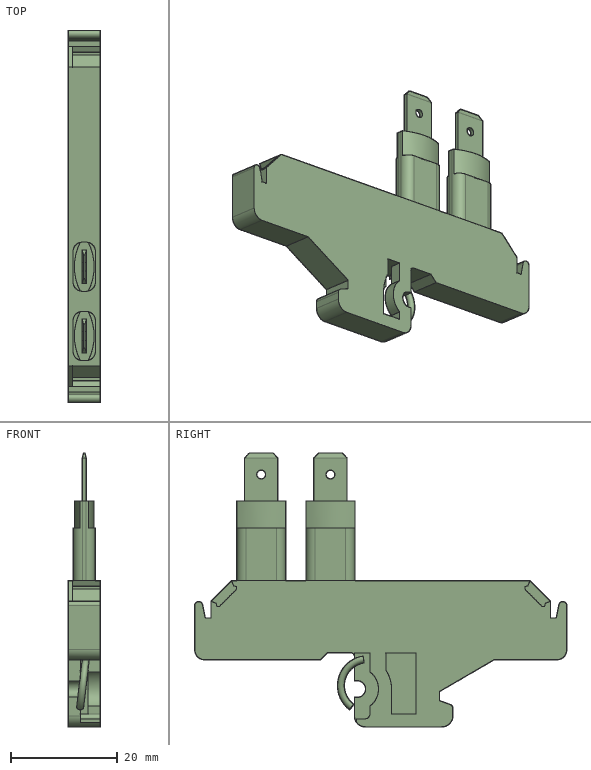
import cadquery as cq
import math

length = 70.0
thickness = 6.1
total_height = 51.5
half_length = length / 2
left_face = -thickness / 2
right_face = thickness / 2

body_top = 27.5
body_bottom = 12.6
end_chamfer = 3.85
end_radius = 1.95
lever_top = 23.6
lever_tip_radius = 0.8
lever_root_width = 2.0
slot_bottom = 20.5
slot_wall = half_length - 3.1
chamfer_foot = body_top - end_chamfer

foot_front = -5.0
foot_back = 13.6
foot_radius = 2.1
hook_tip_radius = 0.85
hook_tip_height = 4.05
throat_y = 11.05
throat_bottom = 5.0
throat_top = 6.65
slant_end = 21.3
step_top = 13.9
step_radius = 0.6
step_end = -10.0

notch_y = -4.4
notch_z = 7.15
notch_radius = 1.55
web_inner_radius = 4.0
web_outer_radius = 6.45
web_front = -2.0
web_back = 2.0
web_top_back = 1.0
web_bottom = 2.45
left_plate = 2.3
spring_gap = 1.5
cavity_back = 6.65
sill_height = 1.55
sill_front = -4.55
sill_fillet = web_bottom - sill_height

label_skin = 0.85
label_depth = 1.0
label_corner = 0.5
lip_rise = 1.0
lip_lean = 0.4
lip_undercut = 0.15

terminal_places = [-9.45, -22.5]
sleeve_length = 9.25
sleeve_width = 4.2
sleeve_corner = 1.75
sleeve_step = 37.45
sleeve_top = 42.5
collar_width = 3.7
collar_end_width = 1.5
blade_width = 6.3
blade_thickness = 0.8
blade_bevel_height = 1.0
blade_bevel_side = 0.9
blade_tip_thickness = 0.3
blade_hole = 1.6
blade_hole_z = 47.45

wire_diameter = 1.3
spring_y = -2.5
spring_z = 7.8
spring_radius = 5.0
spring_upper_y = -3.2
spring_lower_y = -5.45
spring_upper_x = 0.3
spring_lower_x = -0.8


def plate(outline, start, end):
    """Extrude a closed Y-Z outline from X = start to X = end."""
    return outline.close().extrude(end - start).translate((start, 0, 0))


def outline_at(y, z):
    """Start a Y-Z outline on the mid-plane X = 0."""
    return cq.Workplane("YZ").moveTo(y, z)


def make_lever_slot(side):
    """Tapered slot that frees the clip lever at one end (side is +1 or -1)."""
    root_y = half_length - lever_root_width
    centre_y = half_length - lever_tip_radius
    centre_z = lever_top - lever_tip_radius
    rise = centre_z - slot_bottom
    run = centre_y - root_y
    lean = math.atan2(run, rise) - math.asin(lever_tip_radius / math.hypot(run, rise))
    tangent_y = centre_y - lever_tip_radius * math.cos(lean)
    tangent_z = centre_z + lever_tip_radius * math.sin(lean)
    outline = (
        outline_at(side * slot_wall, slot_bottom)
        .lineTo(side * root_y, slot_bottom)
        .lineTo(side * tangent_y, tangent_z)
        .threePointArc((side * centre_y, lever_top), (side * half_length, centre_z))
        .lineTo(side * half_length, body_top)
        .lineTo(side * (slot_wall - end_chamfer), body_top)
        .lineTo(side * slot_wall, chamfer_foot)
    )
    return plate(outline, left_face, right_face)


def make_label_recess(side):
    """Recess in one end chamfer with undercut lips at top and bottom, open to +X."""
    top_y = slot_wall - end_chamfer
    inner_y = top_y - label_depth
    inner_z = body_top - lip_rise - lip_undercut
    low_y = slot_wall - lip_rise - lip_undercut
    low_z = chamfer_foot - label_depth
    outline = (
        outline_at(side * top_y, body_top)
        .lineTo(side * (top_y - lip_lean), body_top - lip_rise)
        .lineTo(side * inner_y, inner_z)
        .lineTo(side * inner_y, inner_z - label_corner)
        .lineTo(side * (low_y - label_corner), low_z)
        .lineTo(side * low_y, low_z)
        .lineTo(side * (slot_wall - lip_rise), chamfer_foot - lip_lean)
        .lineTo(side * slot_wall, chamfer_foot)
    )
    return plate(outline, left_face + label_skin, right_face)


def make_web_outline():
    """Bowed strip that is both the opening in the left plate and the web behind it."""
    inner_rise = math.sqrt(web_inner_radius**2 - (web_front - notch_y) ** 2)
    outer_low = notch_z + math.sqrt(web_outer_radius**2 - (web_back - notch_y) ** 2)
    outer_high = notch_z + math.sqrt(web_outer_radius**2 - (web_top_back - notch_y) ** 2)
    return (
        outline_at(web_front, web_bottom)
        .lineTo(web_front, notch_z - inner_rise)
        .threePointArc((notch_y + web_inner_radius, notch_z), (web_front, notch_z + inner_rise))
        .lineTo(web_front, step_top)
        .lineTo(web_top_back, step_top)
        .lineTo(web_top_back, outer_high)
        .radiusArc((web_back, outer_low), web_outer_radius)
        .lineTo(web_back, web_bottom)
    )


def make_foot_cavity():
    """Space right of the left plate, open to the front and to +X, above a low sill."""
    outline = (
        outline_at(foot_front, 0)
        .lineTo(sill_front, 0)
        .lineTo(sill_front, sill_height)
        .lineTo(web_front - sill_fillet, sill_height)
        .tangentArcPoint((web_front, web_bottom), relative=False)
        .lineTo(cavity_back, web_bottom)
        .lineTo(cavity_back, step_top)
        .lineTo(foot_front, step_top)
    )
    return plate(outline, left_face + left_plate, right_face)


def round_edge(body, y, z, radius):
    """Fillet the edge that runs along X through the point (y, z)."""
    near = 0.1
    box = cq.selectors.BoxSelector((left_face, y - near, z - near), (right_face, y + near, z + near))
    return body.edges("|X").edges(box).fillet(radius)


def make_housing():
    outline = (
        outline_at(-half_length, body_bottom)
        .lineTo(step_end - (step_top - body_bottom), body_bottom)
        .lineTo(step_end, step_top)
        .lineTo(foot_front, step_top)
        .lineTo(foot_front, 0)
        .lineTo(foot_back, 0)
        .lineTo(foot_back, hook_tip_height)
        .lineTo(throat_y, throat_bottom)
        .lineTo(throat_y, throat_top)
        .lineTo(slant_end, body_bottom)
        .lineTo(half_length, body_bottom)
        .lineTo(half_length, body_top)
        .lineTo(-half_length, body_top)
    )
    housing = plate(outline, left_face, right_face)

    for y in (-half_length, half_length):
        housing = round_edge(housing, y, body_bottom, end_radius)
    for y in (foot_front, foot_back):
        housing = round_edge(housing, y, 0, foot_radius)
    housing = round_edge(housing, foot_back, hook_tip_height, hook_tip_radius)
    housing = round_edge(housing, foot_front, step_top, step_radius)

    for side in (-1, 1):
        housing = housing.cut(make_lever_slot(side)).cut(make_label_recess(side))

    opening = plate(make_web_outline(), left_face, left_face + left_plate)
    web = plate(make_web_outline(), left_face + left_plate + spring_gap, right_face)
    notch = (
        outline_at(notch_y, notch_z + notch_radius)
        .threePointArc((notch_y + notch_radius, notch_z), (notch_y, notch_z - notch_radius))
        .lineTo(foot_front, notch_z - notch_radius)
        .lineTo(foot_front, notch_z + notch_radius)
    )
    finger_notch = plate(notch, left_face, left_face + left_plate)
    return housing.cut(make_foot_cavity()).union(web).cut(opening).cut(finger_notch)


def make_blade(y):
    """Flat terminal with a bevelled tip and a round detent hole."""
    bevel_start = total_height - blade_bevel_height
    shank = (
        cq.Workplane("XY", origin=(0, y, body_top))
        .rect(blade_thickness, blade_width)
        .extrude(bevel_start - body_top)
    )
    tip = (
        cq.Workplane("XY", origin=(0, y, bevel_start))
        .rect(blade_thickness, blade_width)
        .workplane(offset=blade_bevel_height)
        .rect(blade_tip_thickness, blade_width - 2 * blade_bevel_side)
        .loft()
    )
    hole = outline_at(y, blade_hole_z).circle(blade_hole / 2).extrude(blade_thickness, both=True)
    return shank.union(tip).cut(hole)


def make_sleeve(y):
    """Rounded insulating sleeve, trimmed to a lens-shaped collar at the top and pierced by its blade."""
    sleeve = (
        cq.Workplane("XY", origin=(0, y, body_top))
        .rect(sleeve_width, sleeve_length)
        .extrude(sleeve_top - body_top)
        .edges("|Z")
        .fillet(sleeve_corner)
    )
    end_x = collar_end_width / 2
    end_y = sleeve_length / 2
    collar_height = sleeve_top - sleeve_step
    surround = (
        cq.Workplane("XY", origin=(0, y, sleeve_step))
        .rect(2 * sleeve_width, 2 * sleeve_length)
        .extrude(collar_height)
    )
    lens = (
        cq.Workplane("XY", origin=(0, y, sleeve_step))
        .moveTo(end_x, -end_y)
        .threePointArc((collar_width / 2, 0), (end_x, end_y))
        .lineTo(-end_x, end_y)
        .threePointArc((-collar_width / 2, 0), (-end_x, -end_y))
        .close()
        .extrude(collar_height)
    )
    return sleeve.cut(surround.cut(lens)).cut(make_blade(y))


def make_spring():
    """Round wire bent to a slightly tilted arc that bulges out in front of the foot."""
    upper_rise = math.sqrt(spring_radius**2 - (spring_upper_y - spring_y) ** 2)
    lower_drop = math.sqrt(spring_radius**2 - (spring_lower_y - spring_y) ** 2)
    tilt = (spring_upper_x - spring_lower_x) / (upper_rise + lower_drop)
    middle_x = spring_upper_x - tilt * upper_rise
    upper = (spring_upper_x, spring_upper_y, spring_z + upper_rise)
    middle = (middle_x, spring_y - spring_radius, spring_z)
    lower = (spring_lower_x, spring_lower_y, spring_z - lower_drop)
    arc = cq.Edge.makeThreePointArc(cq.Vector(*upper), cq.Vector(*middle), cq.Vector(*lower))
    section = cq.Plane(origin=upper, normal=arc.tangentAt(0))
    return cq.Workplane(section).circle(wire_diameter / 2).sweep(cq.Workplane(arc))


housing = make_housing()
spring = make_spring()
sleeves = [make_sleeve(y) for y in terminal_places]
blades = [make_blade(y) for y in terminal_places]

result = cq.Compound.makeCompound(
    [housing.val(), spring.val()]
    + [sleeve.val() for sleeve in sleeves]
    + [blade.val() for blade in blades]
)